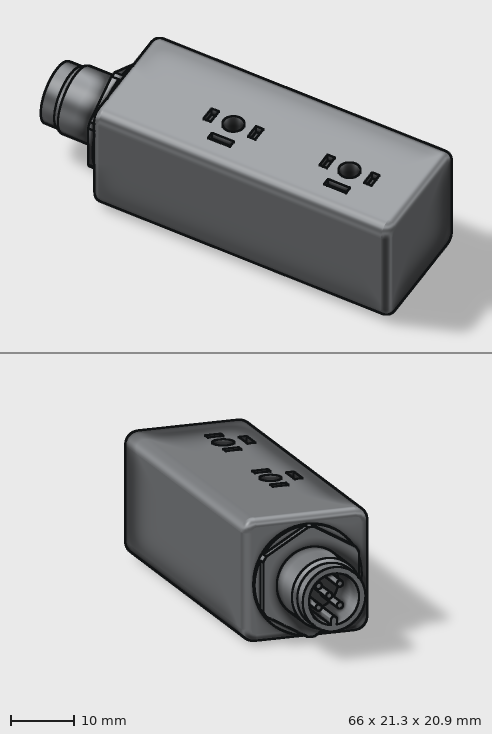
import cadquery as cq
import math

total_length = 66.0
body_start = 12.15
body_width = 21.3
body_height = 20.3
body_raise = 0.45
side_edge_radius = 2.25
end_edge_radius = 1.4

tip_radius = 5.3
tip_length = 2.45
barrel_radius = 5.8
barrel_start = 3.4
socket_radius = 4.2
socket_depth = 9.25
pin_radius = 0.5
pin_spacing = 3.55
pin_recess = 2.1
key_width = 1.0
key_reach = 2.85

nut_start = 10.15
flange_start = 11.5
nut_across_flats = 16.2
flange_radius = 9.05

first_hole_x = 32.85
hole_pitch = 21.0
hole_y = -1.7
hole_diameter = 3.5
boss_diameter = 10.0
boss_height = 0.6
slot_width = 1.3
side_slot_length = 2.65
front_slot_length = 3.95
slot_offset = 4.0
slot_depth = 1.3

body_length = total_length - body_start
body_top = body_raise + body_height / 2
body_bottom = body_raise - body_height / 2
hole_positions = [(first_hole_x, hole_y), (first_hole_x + hole_pitch, hole_y)]


def rod(radius, start, end, y=0, z=0):
    """Cylinder parallel to X."""
    return cq.Workplane("YZ", origin=(start, y, z)).circle(radius).extrude(end - start)


def make_body():
    centre = (body_start + body_length / 2, 0, body_raise)
    block = cq.Workplane("XY", origin=centre).box(body_length, body_width, body_height)
    return block.edges("|X").fillet(side_edge_radius).faces("<X or >X").edges().fillet(end_edge_radius)


def make_nut():
    """Hexagon with corners up and down, trimmed to the flange radius."""
    across_corners = nut_across_flats / math.cos(math.radians(30))
    hexagon = (
        cq.Workplane("YZ", origin=(nut_start, 0, 0))
        .transformed(rotate=(0, 0, 90))
        .polygon(6, across_corners)
        .extrude(flange_start - nut_start)
    )
    return hexagon.intersect(rod(flange_radius, nut_start, flange_start))


def make_shell():
    """Stepped connector barrel with a blind socket."""
    outside = (
        cq.Workplane("XY")
        .polyline([
            (0, 0),
            (0, tip_radius),
            (tip_length, tip_radius),
            (barrel_start, barrel_radius),
            (nut_start, barrel_radius),
            (nut_start, 0),
        ])
        .close()
        .revolve(360, (0, 0, 0), (1, 0, 0))
    )
    return outside.cut(rod(socket_radius, 0, socket_depth))


def make_pins():
    offset = pin_spacing / 2
    places = [(0, 0)] + [(y, z) for y in (-offset, offset) for z in (-offset, offset)]
    return [rod(pin_radius, pin_recess, socket_depth, y, z) for y, z in places]


def make_key():
    """Rounded full-depth rib on the lower wall of the socket."""
    half_width = key_width / 2
    shoulder = -key_reach - half_width
    foot = -(socket_radius + tip_radius) / 2
    return (
        cq.Workplane("YZ")
        .moveTo(-half_width, foot)
        .lineTo(-half_width, shoulder)
        .threePointArc((0, -key_reach), (half_width, shoulder))
        .lineTo(half_width, foot)
        .close()
        .extrude(socket_depth)
    )


def make_bosses():
    return (
        cq.Workplane("XY", origin=(0, 0, body_bottom - boss_height))
        .pushPoints(hole_positions)
        .circle(boss_diameter / 2)
        .extrude(boss_height)
    )


def make_holes():
    return (
        cq.Workplane("XY", origin=(0, 0, body_bottom - boss_height))
        .pushPoints(hole_positions)
        .circle(hole_diameter / 2)
        .extrude(body_height + boss_height)
    )


def make_slots():
    """Two side slots and one front slot around each hole."""
    side_places = [(x + side * slot_offset, y) for x, y in hole_positions for side in (-1, 1)]
    front_places = [(x, y - slot_offset) for x, y in hole_positions]
    top = cq.Workplane("XY", origin=(0, 0, body_top))
    side_slots = top.pushPoints(side_places).rect(slot_width, side_slot_length).extrude(-slot_depth)
    front_slots = top.pushPoints(front_places).rect(front_slot_length, slot_width).extrude(-slot_depth)
    return side_slots.union(front_slots)


result = make_body().union(rod(flange_radius, flange_start, body_start))
result = result.union(make_nut()).union(make_shell()).union(make_key())
for pin in make_pins():
    result = result.union(pin)
result = result.union(make_bosses()).cut(make_holes()).cut(make_slots())